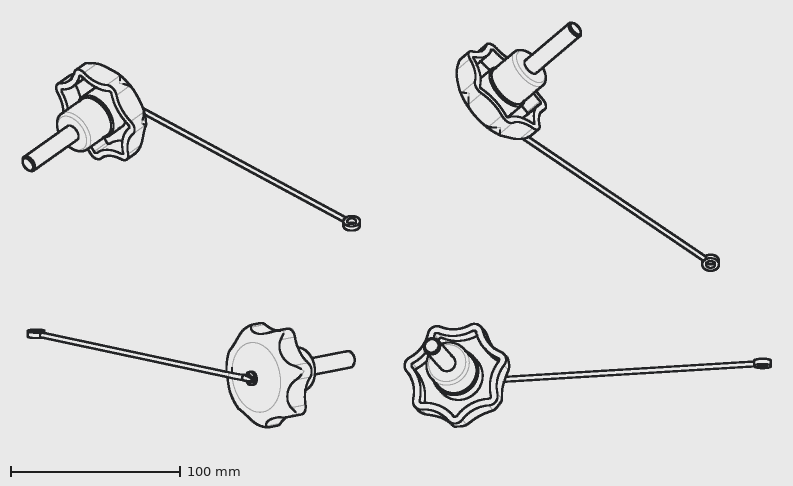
import cadquery as cq
import math


lobe_count = 7
lobe_pitch = 360 / lobe_count
lobe_centre_radius = 26
lobe_tip_radius = 5.5
wall = 4.1
flute_radius = 26.2
grip_radius = lobe_centre_radius + lobe_tip_radius
dome_height = 19.3
dome_edge_radius = 20.8
dome_edge_height = 15.8
shoulder_radius = 9.8
pocket_depth = 11.5

hub_diameter = 26
hub_root_diameter = 28.0
root_cone_start = 0.2
hub_length = 20.8
hub_edge_radius = 1.7
stud_diameter = 10.0
stud_tip = 60.7
stud_tip_chamfer = 0.9

button_diameter = 8.0
button_top = 20.5
button_cap_height = 1.5
button_cap_diameter = 5.2

cord_diameter = 3.0
cord_height = 22.5
bend_start = 4.5
bend_end = 15.0
bend_drop = 0.9
sleeve_diameter = 3.5
sleeve_length = 7.8
ring_diameter = 10.0
ring_hole_diameter = 5.2
ring_thickness = 3.3
ring_centre = 181.0


def polar(radius, degrees):
    angle = math.radians(degrees)
    return (radius * math.cos(angle), radius * math.sin(angle))


def lobed_prism(tip_radius, depth):
    """Seven-lobed prism from y = 0 to y = depth, with lobe tips of the given radius."""
    first_angle = -90
    outline = cq.Workplane("XZ").moveTo(*polar(lobe_centre_radius, first_angle))
    for i in range(lobe_count):
        valley = polar(flute_radius - lobe_tip_radius, first_angle + (i + 0.5) * lobe_pitch)
        tip = polar(lobe_centre_radius, first_angle + (i + 1) * lobe_pitch)
        outline = outline.threePointArc(valley, tip)
    return outline.close().offset2D(tip_radius, "arc").extrude(-depth)


def y_cylinder(diameter, start, end):
    plane = cq.Workplane("XZ", origin=(0, start, 0))
    return plane.circle(diameter / 2).extrude(start - end)


def grip():
    dome_rise = dome_height - dome_edge_height
    dome_radius = (dome_edge_radius**2 + dome_rise**2) / (2 * dome_rise)
    half_edge = dome_edge_radius / 2
    dome_mid = dome_height - dome_radius + math.sqrt(dome_radius**2 - half_edge**2)
    shoulder_x = grip_radius - shoulder_radius
    shoulder_y = dome_edge_height - math.sqrt(shoulder_radius**2 - (shoulder_x - dome_edge_radius) ** 2)
    mid_x, mid_y = polar(shoulder_radius, 45)
    shoulder_mid = (shoulder_x + mid_x, shoulder_y + mid_y)
    dome = (
        cq.Workplane("XY")
        .lineTo(0, dome_height)
        .threePointArc((half_edge, dome_mid), (dome_edge_radius, dome_edge_height))
        .threePointArc(shoulder_mid, (grip_radius, shoulder_y))
        .lineTo(grip_radius, 0)
        .close()
        .revolve(360, (0, 0, 0), (0, 1, 0))
    )
    body = dome.intersect(lobed_prism(lobe_tip_radius, dome_height))
    return body.cut(lobed_prism(lobe_tip_radius - wall, pocket_depth))


def hub():
    barrel = y_cylinder(hub_diameter, pocket_depth, -hub_length)
    barrel = barrel.faces("<Y").edges().fillet(hub_edge_radius)
    root_step = (hub_root_diameter - hub_diameter) / 2
    root = y_cylinder(hub_root_diameter, pocket_depth, root_cone_start)
    cone = (
        cq.Workplane("XZ", origin=(0, root_cone_start, 0))
        .circle(hub_root_diameter / 2)
        .workplane(offset=root_step)
        .circle(hub_diameter / 2)
        .loft(ruled=True)
    )
    return barrel.union(root).union(cone)


def stud():
    return y_cylinder(stud_diameter, 0, -stud_tip).faces("<Y").chamfer(stud_tip_chamfer)


def button():
    base = y_cylinder(button_diameter, dome_edge_height, button_top)
    cap = (
        cq.Workplane("XZ", origin=(0, button_top, 0))
        .circle(button_diameter / 2)
        .workplane(offset=-button_cap_height)
        .circle(button_cap_diameter / 2)
        .loft(ruled=True)
    )
    return base.union(cap)


def cord():
    straight = (
        cq.Workplane("YZ", origin=(bend_end, cord_height, 0))
        .circle(cord_diameter / 2)
        .extrude(ring_centre - bend_end)
    )
    bend_run = bend_end - bend_start
    bend_radius = (bend_run**2 + bend_drop**2) / (2 * bend_drop)
    bend_angle = math.degrees(math.asin(bend_run / bend_radius))
    bend = (
        cq.Workplane("YZ", origin=(bend_end, cord_height, 0))
        .circle(cord_diameter / 2)
        .revolve(bend_angle, (-bend_radius, 0, 0), (-bend_radius, 1, 0))
    )
    slope = math.radians(bend_angle)
    sleeve_plane = cq.Plane(
        origin=(bend_start, cord_height - bend_drop, 0),
        xDir=(0, 0, 1),
        normal=(-math.cos(slope), -math.sin(slope), 0),
    )
    sleeve = cq.Workplane(sleeve_plane).circle(sleeve_diameter / 2).extrude(sleeve_length)
    return straight.union(bend).union(sleeve)


def end_ring(diameter):
    plane = cq.Workplane("XY", origin=(ring_centre, cord_height, -ring_thickness / 2))
    return plane.circle(diameter / 2).extrude(ring_thickness)


knob = grip().union(hub()).union(stud()).union(button())
tether = cord().union(end_ring(ring_diameter)).cut(end_ring(ring_hole_diameter))
result = knob.union(tether)